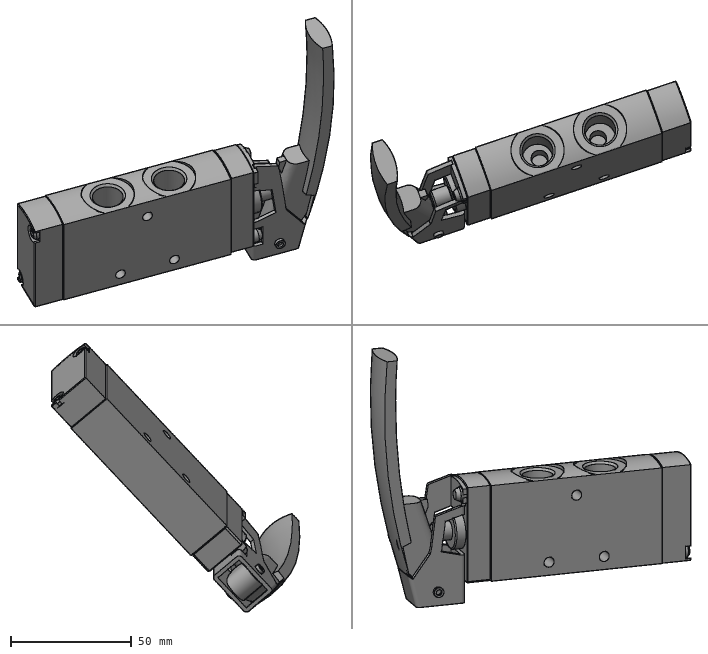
import cadquery as cq
import math


OVERALL_LENGTH = 136.5
TOP_Z = 100.4
BRACKET_BOTTOM_Z = -9.0

BODY_WIDTH = 20.0
CAP_WIDTH = 19.1
SHOULDER_Z = 41.8
CROWN_HEIGHT = 1.6
PLAIN_CAP_LENGTH = 13.1
BODY_LENGTH = 75.2
LEVER_CAP_LENGTH = 10.5
CAP_EDGE_CHAMFER = 0.4

BODY_END_Y = PLAIN_CAP_LENGTH + BODY_LENGTH
CAP_FACE_Y = BODY_END_Y + LEVER_CAP_LENGTH
BODY_MIDDLE_Y = PLAIN_CAP_LENGTH + BODY_LENGTH / 2

PORT_SPACING = 27.6
SPOTFACE_DIAMETER = 22.1
SPOTFACE_Z = SHOULDER_Z + 0.1
PORT_DIAMETER = 12.8
PORT_MOUTH_CHAMFER = 1.0
CHAMFER_ANGLE = 45
PORT_DEPTH = 12.3
PASSAGE_DIAMETER = 7.0
PASSAGE_SPACING = 25.8
PASSAGE_DEPTH = 6.8

MOUNT_DIAMETER = 4.4
MOUNT_SPACING = 24.3
MOUNT_LOW_Z = 5.7
MOUNT_HIGH_Z = 33.7

SCREW_X = 6.3
SCREW_LOW_Z = 3.5
SCREW_HIGH_Z = 38.2
HEAD_DIAMETER = 5.9
HEAD_TOP_DIAMETER = 4.0
HEAD_RECESS_DIAMETER = 7.2
HEAD_RECESS_DEPTH = 2.6
HEAD_HEIGHT = 2.3
SLOT_HEIGHT = 5.5
SLOT_REACH = 5.5
HEX_DIAMETER = 2.5
HEX_DEPTH = 1.1
REAR_HEAD_HEIGHT = 4.4
HEAD_CONE_HEIGHT = 1.9

PLUNGER_Z = 20.9
COLLAR_DIAMETER = 16.1
COLLAR_LENGTH = 4.5
COLLAR_CHAMFER = 0.5
STEM_DIAMETER = 8.0
STEM_END_Y = 111.0
STEM_CHAMFER = 0.7

BRACKET_WIDTH = 15.3
SHEET = 1.8
BEND_RADIUS = 1.6
TAB_BOTTOM_Z = 35.1
TAB_TOP_DROP = 0.4
RELIEF_GAP = 0.4
LOW_RELIEF_HEIGHT = 9.5
BASE_INNER_Y = CAP_FACE_Y + SHEET
BACK_END_DROP = 1.2
LOW_WALL_Z = 33.3
HIGH_WALL_Z = 42.7
WALL_TIP_ROUND = 1.1
WINDOW_LOW_Z = 12.0
WINDOW_HIGH_Z = 29.5

BACK_LOW = (120.3, BRACKET_BOTTOM_Z)
BACK_HIGH = (123.8, 4.9)
WALL_NOSE_LOW = (114.4, 13.9)
WALL_NOSE_HIGH = (113.9, 16.1)
WALL_TIP = (112.1, 30.0)
HIGH_WALL_TIP = (110.6, 39.9)
WINDOW_LOW_TIP = (109.5, 14.3)
WINDOW_HIGH_TIP = (107.7, 27.5)

PIN_Y = 111.0
PIN_Z = -2.9
PIN_DIAMETER = 4.2
PIN_LENGTH = 18.0
DIMPLE_DIAMETER = 2.5
DIMPLE_DEPTH = 1.1

LEVER_AXIS_Z = 80.5
OUTER_RADIUS = 243.0
INNER_RADIUS = 273.1
LEVER_THICKNESS = 8.2
OUTER_CROWN = 1.6
INNER_CROWN = 2.0
LEVER_TOP_WIDTH = 19.1
LEVER_LOW_WIDTH = 15.3
LEVER_LOW_Z = 5.5
WEB_WIDTH = 10.9
WEB_ROUND = 4.0
WEB_TOP_Z = 36.0
WEB_FRONT_Y = 116.7
WEB_LEAN = 0.34
HUB_RADIUS = 5.9
TONGUE_WIDTH = 3.0
FOOT_INNER_Y = 123.7

STEP_INNER = (122.5, 20.1)
STEP_OUTER = (126.6, 18.3)
WEB_BACK_TOP = (130.4, WEB_TOP_Z)
WEB_BACK_MIDDLE = (128.3, 19.1)
WEB_BACK_LOW = (123.8, 6.4)
WEB_FOOT = (121.2, 3.7)
STEM_CLEARANCE = 0.4
TONGUE_OUTLINE = [(118.1, WEB_TOP_Z), (113.6, 35.8), (113.2, 32.6), (114.7, 29.2), (116.9, 29.2)]


def side_plate(points, x_start, width):
    """Prism along X from an outline of (Y, Z) points."""
    return cq.Workplane("YZ", origin=(x_start, 0, 0)).polyline(points).close().extrude(width)


def cylinder_y(diameter, x, z, y_start, length):
    """Cylinder along +Y."""
    return (
        cq.Workplane("XZ", origin=(x, y_start, z))
        .circle(diameter / 2)
        .extrude(-length)
    )


def cylinder_x(diameter, y, z, length):
    """Cylinder along X, centred on X = 0."""
    return (
        cq.Workplane("YZ", origin=(-length / 2, y, z))
        .circle(diameter / 2)
        .extrude(length)
    )


def crowned_block(width, y_start, length, bottom_z=0.0, crown_drop=0.0):
    """Block along Y with an arched top."""
    half = width / 2
    shoulder = SHOULDER_Z - crown_drop
    return (
        cq.Workplane("XZ", origin=(0, y_start, 0))
        .moveTo(-half, bottom_z)
        .lineTo(half, bottom_z)
        .lineTo(half, shoulder)
        .threePointArc((0, shoulder + CROWN_HEIGHT), (-half, shoulder))
        .close()
        .extrude(-length)
    )


def make_valve_body():
    body = crowned_block(BODY_WIDTH, PLAIN_CAP_LENGTH, BODY_LENGTH)
    for side in (-1, 1):
        port_y = BODY_MIDDLE_Y + side * PORT_SPACING / 2
        passage_y = BODY_MIDDLE_Y + side * PASSAGE_SPACING / 2
        floor = cq.Workplane("XY", origin=(0, 0, SPOTFACE_Z))
        spotface = floor.center(0, port_y).circle(SPOTFACE_DIAMETER / 2).extrude(2 * CROWN_HEIGHT)
        port = floor.center(0, port_y).circle(PORT_DIAMETER / 2).extrude(-PORT_DEPTH)
        mouth_radius = PORT_DIAMETER / 2 + PORT_MOUTH_CHAMFER
        mouth = floor.center(0, port_y).circle(mouth_radius).extrude(-PORT_MOUTH_CHAMFER, taper=CHAMFER_ANGLE)
        passage = (
            floor.center(0, passage_y)
            .circle(PASSAGE_DIAMETER / 2)
            .extrude(-PORT_DEPTH - PASSAGE_DEPTH)
        )
        body = body.cut(spotface).cut(port).cut(mouth).cut(passage)
    mounts = (
        (BODY_MIDDLE_Y, MOUNT_HIGH_Z),
        (BODY_MIDDLE_Y - MOUNT_SPACING / 2, MOUNT_LOW_Z),
        (BODY_MIDDLE_Y + MOUNT_SPACING / 2, MOUNT_LOW_Z),
    )
    for y, z in mounts:
        body = body.cut(cylinder_x(MOUNT_DIAMETER, y, z, BODY_WIDTH))
    return body


def make_plain_cap():
    """Cap at Y = 0 with two recessed screw heads on opposite corners."""
    cap = crowned_block(CAP_WIDTH, 0, PLAIN_CAP_LENGTH)
    cap = cap.faces("<Y or >Y").chamfer(CAP_EDGE_CHAMFER)
    for x, z in ((SCREW_X, SCREW_HIGH_Z), (-SCREW_X, SCREW_LOW_Z)):
        head_y = HEAD_RECESS_DEPTH - HEAD_HEIGHT
        recess = cylinder_y(HEAD_RECESS_DIAMETER, x, z, 0, HEAD_RECESS_DEPTH)
        head = cylinder_y(HEAD_DIAMETER, x, z, head_y, HEAD_HEIGHT)
        head = head.faces("<Y").chamfer((HEAD_DIAMETER - HEAD_TOP_DIAMETER) / 2)
        socket = cylinder_y(HEX_DIAMETER, x, z, head_y, HEX_DEPTH)
        outward = math.copysign(1, x)
        side_slot = cq.Workplane("XY", origin=(x + outward * SLOT_REACH / 2, 0, z)).box(
            SLOT_REACH, HEAD_RECESS_DEPTH, SLOT_HEIGHT, centered=(True, False, True)
        )
        cap = cap.cut(recess).cut(side_slot).union(head).cut(socket)
    return cap


def make_lever_cap():
    """Cap at the lever end, with its screw heads and the plunger."""
    cap = crowned_block(CAP_WIDTH, BODY_END_Y, LEVER_CAP_LENGTH)
    cap = cap.faces("<Z").edges("|Y").chamfer(2 * CAP_EDGE_CHAMFER)
    cap = cap.faces("<Y or >Y").chamfer(CAP_EDGE_CHAMFER)
    for x, z in ((-SCREW_X, SCREW_HIGH_Z), (SCREW_X, SCREW_LOW_Z)):
        head = cylinder_y(HEAD_DIAMETER, x, z, CAP_FACE_Y, REAR_HEAD_HEIGHT)
        cone_width = (HEAD_DIAMETER - HEAD_TOP_DIAMETER) / 2
        head = head.faces(">Y").chamfer(HEAD_CONE_HEIGHT, cone_width)
        cap = cap.union(head)
    collar = cylinder_y(COLLAR_DIAMETER, 0, PLUNGER_Z, CAP_FACE_Y, COLLAR_LENGTH)
    collar = collar.faces(">Y").chamfer(COLLAR_CHAMFER)
    stem = cylinder_y(STEM_DIAMETER, 0, PLUNGER_Z, CAP_FACE_Y, STEM_END_Y - CAP_FACE_Y)
    stem = stem.faces(">Y").chamfer(STEM_CHAMFER)
    return cap.union(collar).union(stem)


def pin_hole():
    return cylinder_x(PIN_DIAMETER, PIN_Y, PIN_Z, 2 * BRACKET_WIDTH)


def bracket_channel():
    """Base sheet, two side walls and a sloping back, folded into an open-ended channel."""
    half = BRACKET_WIDTH / 2
    back_low_y, back_low_z = BACK_LOW
    back_high_y, back_high_z = BACK_HIGH
    outline = [
        (CAP_FACE_Y, BRACKET_BOTTOM_Z),
        BACK_LOW,
        BACK_HIGH,
        (back_high_y - SHEET, back_high_z - BACK_END_DROP),
        WALL_NOSE_LOW,
        WALL_NOSE_HIGH,
        WALL_TIP,
        (BASE_INNER_Y, LOW_WALL_Z),
        (CAP_FACE_Y, LOW_WALL_Z),
    ]
    back_slope = (back_high_y - back_low_y) / (back_high_z - back_low_z)
    back_inner_low_y = back_low_y - SHEET * math.hypot(1, back_slope)
    inside = [
        (BASE_INNER_Y, BRACKET_BOTTOM_Z),
        (back_inner_low_y, BRACKET_BOTTOM_Z),
        (back_inner_low_y + back_slope * (HIGH_WALL_Z - BRACKET_BOTTOM_Z), HIGH_WALL_Z),
        (BASE_INNER_Y, HIGH_WALL_Z),
    ]
    channel = side_plate(outline, -half, BRACKET_WIDTH)
    channel = channel.faces("<Y").edges("|Z").fillet(BEND_RADIUS)
    back_middle_y = (back_low_y + back_high_y) / 2
    back_middle_z = (back_low_z + back_high_z) / 2
    back_edges = cq.selectors.BoxSelector(
        (-BRACKET_WIDTH, back_middle_y - SHEET, back_middle_z - SHEET),
        (BRACKET_WIDTH, back_middle_y + SHEET, back_middle_z + SHEET),
    )
    channel = channel.edges(back_edges).fillet(BEND_RADIUS)
    return channel.cut(side_plate(inside, SHEET - half, BRACKET_WIDTH - 2 * SHEET))


def bracket_high_wall():
    """Raised upper part of the +X wall."""
    outline = [
        (CAP_FACE_Y + SHEET / 2, LOW_WALL_Z - SHEET),
        (WALL_TIP[0], WALL_TIP[1] - SHEET),
        WALL_TIP,
        HIGH_WALL_TIP,
        (BASE_INNER_Y, HIGH_WALL_Z),
        (CAP_FACE_Y + SHEET / 2, HIGH_WALL_Z),
    ]
    wall = side_plate(outline, BRACKET_WIDTH / 2 - SHEET, SHEET)
    tip_box = cq.selectors.BoxSelector(
        (0, HIGH_WALL_TIP[0] - 1.4, HIGH_WALL_TIP[1] - 1.4),
        (BRACKET_WIDTH, HIGH_WALL_TIP[0] + 1.4, HIGH_WALL_TIP[1] + 1.4),
    )
    return wall.edges(tip_box).fillet(WALL_TIP_ROUND)


def bracket_tab():
    """Wide arched tab at the top of the base, with a neck down to the channel."""
    tab = crowned_block(CAP_WIDTH, CAP_FACE_Y, SHEET, TAB_BOTTOM_Z, TAB_TOP_DROP)
    neck_height = TAB_BOTTOM_Z - LOW_WALL_Z
    neck = cq.Workplane("XY", origin=(0, CAP_FACE_Y + SHEET / 2, LOW_WALL_Z)).box(
        BRACKET_WIDTH, SHEET, neck_height, centered=(True, True, False)
    )
    return tab.union(neck)


def make_bracket():
    bracket = bracket_channel().union(bracket_high_wall()).union(bracket_tab())
    window = [
        (CAP_FACE_Y, WINDOW_LOW_Z),
        (BASE_INNER_Y, WINDOW_LOW_Z),
        WINDOW_LOW_TIP,
        WINDOW_HIGH_TIP,
        (BASE_INNER_Y, WINDOW_HIGH_Z),
        (CAP_FACE_Y, WINDOW_HIGH_Z),
    ]
    bracket = bracket.cut(side_plate(window, -BRACKET_WIDTH, 2 * BRACKET_WIDTH))
    relief_diameter = HEAD_DIAMETER + 2 * RELIEF_GAP
    relief_length = REAR_HEAD_HEIGHT + RELIEF_GAP
    high_relief = cylinder_y(relief_diameter, -SCREW_X, SCREW_HIGH_Z, CAP_FACE_Y, relief_length)
    low_relief = cq.Workplane("XY", origin=(SCREW_X, CAP_FACE_Y, SCREW_LOW_Z)).box(
        relief_diameter, relief_length, LOW_RELIEF_HEIGHT, centered=(True, False, True)
    )
    return bracket.cut(high_relief).cut(low_relief).cut(pin_hole())


def drum(radius, rim_y, bulge):
    """Solid of revolution about an X axis, reaching rim_y at X = 0.

    Its rim rises by bulge from the edges of the lever to the middle; a negative bulge hollows it.
    """
    half = LEVER_TOP_WIDTH / 2
    edge_radius = radius - bulge
    return (
        cq.Workplane("XY", origin=(0, rim_y - radius, LEVER_AXIS_Z))
        .moveTo(-half, 0)
        .lineTo(-half, edge_radius)
        .threePointArc((0, radius), (half, edge_radius))
        .lineTo(half, 0)
        .close()
        .revolve(360, (0, 0, 0), (1, 0, 0))
    )


def lever_handle():
    """Curved, tapered handle, lens-shaped in section, thinned to a strip at its foot."""
    outside = drum(OUTER_RADIUS, OVERALL_LENGTH, OUTER_CROWN)
    inside = drum(INNER_RADIUS, OVERALL_LENGTH - LEVER_THICKNESS, -INNER_CROWN)
    bar = outside.cut(inside)
    taper = (
        cq.Workplane("XZ", origin=(0, BODY_MIDDLE_Y, 0))
        .polyline([
            (-LEVER_LOW_WIDTH / 2, LEVER_LOW_Z),
            (LEVER_LOW_WIDTH / 2, LEVER_LOW_Z),
            (LEVER_TOP_WIDTH / 2, TOP_Z),
            (-LEVER_TOP_WIDTH / 2, TOP_Z),
        ])
        .close()
        .extrude(-OVERALL_LENGTH)
    )
    foot_cut = side_plate(
        [
            (BODY_MIDDLE_Y, STEP_OUTER[1]),
            STEP_INNER,
            STEP_OUTER,
            (FOOT_INNER_Y, LEVER_LOW_Z),
            (BODY_MIDDLE_Y, LEVER_LOW_Z),
        ],
        -LEVER_TOP_WIDTH,
        2 * LEVER_TOP_WIDTH,
    )
    return bar.intersect(taper).cut(foot_cut)


def lever_web():
    """Leaning block with a rounded front that joins the handle to the hub."""
    half = WEB_WIDTH / 2
    drop = WEB_TOP_Z - BRACKET_BOTTOM_Z
    section = (
        cq.Workplane("XY", origin=(0, 0, WEB_TOP_Z))
        .moveTo(-half, OVERALL_LENGTH + drop)
        .lineTo(-half, WEB_FRONT_Y + WEB_ROUND)
        .radiusArc((WEB_ROUND - half, WEB_FRONT_Y), -WEB_ROUND)
        .lineTo(half - WEB_ROUND, WEB_FRONT_Y)
        .radiusArc((half, WEB_FRONT_Y + WEB_ROUND), -WEB_ROUND)
        .lineTo(half, OVERALL_LENGTH + drop)
        .close()
        .wire()
    )
    lean = cq.Vector(0, -WEB_LEAN * drop, -drop)
    rounded = cq.Workplane(cq.Solid.extrudeLinear(section.val(), [], lean))
    outline = [
        WEB_BACK_TOP,
        WEB_BACK_MIDDLE,
        WEB_BACK_LOW,
        WEB_FOOT,
        (PIN_Y + HUB_RADIUS, PIN_Z),
        (PIN_Y - HUB_RADIUS, PIN_Z),
        (PIN_Y - HUB_RADIUS, WEB_TOP_Z),
    ]
    hub = cylinder_x(2 * HUB_RADIUS, PIN_Y, PIN_Z, WEB_WIDTH)
    web = side_plate(outline, -half, WEB_WIDTH).union(hub).intersect(rounded)
    stem_room = cylinder_y(
        STEM_DIAMETER + 2 * STEM_CLEARANCE,
        0,
        PLUNGER_Z,
        CAP_FACE_Y,
        STEM_END_Y + STEM_CLEARANCE - CAP_FACE_Y,
    )
    return web.cut(stem_room)


def make_lever():
    tongue = side_plate(TONGUE_OUTLINE, -TONGUE_WIDTH / 2, TONGUE_WIDTH)
    return lever_handle().union(lever_web()).union(tongue).cut(pin_hole())


def make_pivot_pin():
    pin = cylinder_x(PIN_DIAMETER, PIN_Y, PIN_Z, PIN_LENGTH)
    core = cylinder_x(DIMPLE_DIAMETER, PIN_Y, PIN_Z, PIN_LENGTH)
    solid_length = PIN_LENGTH - 2 * DIMPLE_DEPTH
    return pin.cut(core.cut(cylinder_x(PIN_DIAMETER, PIN_Y, PIN_Z, solid_length)))


valve_body = make_valve_body()
plain_cap = make_plain_cap()
lever_cap = make_lever_cap()
bracket = make_bracket()
lever = make_lever()
pivot_pin = make_pivot_pin()

result = cq.Compound.makeCompound([
    valve_body.val(),
    plain_cap.val(),
    lever_cap.val(),
    bracket.val(),
    lever.val(),
    pivot_pin.val(),
])